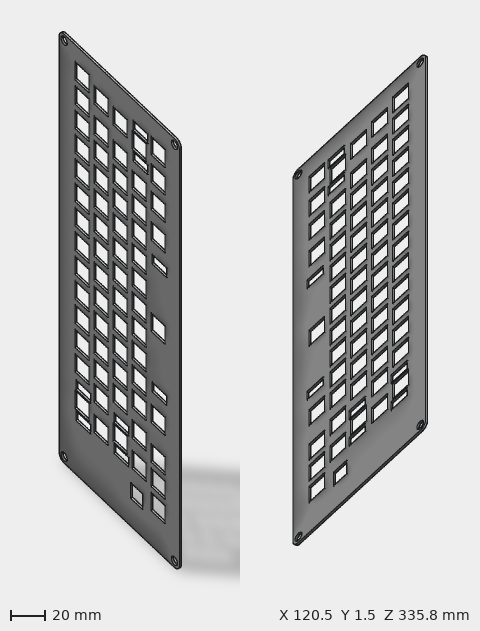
import cadquery as cq

plate_width = 120.5
plate_thickness = 1.5
plate_height = 335.8
corner_radius = 5.0

screw_hole_diameter = 6.0
screw_hole_inset = 5.0

single_key_count = 13
number_row_span = 228.5
key_unit = number_row_span / (single_key_count - 1)
row_count = 5
first_switch_inset = 20.5
key_start_z = plate_height / 2 - first_switch_inset + key_unit / 2
key_field_offset = 0.7

switch_size = 14.0

stabilizer_length = 14.8
stabilizer_width = 7.5
stabilizer_offset = 1.5
short_stabilizer_reach = 12.0
space_stabilizer_reach = 50.0

stabilized_width = 2
space_bar_width = 6.25

number_row = [1] * single_key_count + [2]
upper_row = [1.5] + [1] * 12 + [1.5]
home_row = [1.75] + [1] * 11 + [2.25]
lower_row = [2.25] + [1] * 10 + [1.5, 1]
bottom_row = [1.25, 1, 1.25, 1.25, space_bar_width, 1.25]
arrow_keys = [1, 1, 1]
arrow_start = 12.75

square_opening_size = 12.0
square_opening_x = 17.5
square_opening_z = -140.0


def row_x(row):
    """X of a row's switch centres."""
    return key_field_offset + (row - (row_count - 1) / 2) * key_unit


def window(x, z, size_x, size_z):
    """Rectangular cutter through the plate, centred at (x, z)."""
    return cq.Workplane("XY").box(size_x, 2 * plate_thickness, size_z).translate((x, 0, z))


def key_windows(x, z, width):
    """Switch window of one key, with stabilizer windows if the key is wide."""
    windows = [window(x, z, switch_size, switch_size)]
    if width >= stabilized_width:
        reach = short_stabilizer_reach if width < space_bar_width else space_stabilizer_reach
        for side in (-1, 1):
            windows.append(
                window(x + stabilizer_offset, z + side * reach, stabilizer_length, stabilizer_width)
            )
    return windows


def row_windows(row, widths, start=0.0):
    """All windows of a run of adjacent keys beginning at start (in key units)."""
    windows = []
    for width in widths:
        z = key_start_z - (start + width / 2) * key_unit
        windows += key_windows(row_x(row), z, width)
        start += width
    return windows


def base_plate():
    """Round-cornered plate with a screw hole in each corner."""
    return (
        cq.Workplane("XY")
        .box(plate_width, plate_thickness, plate_height)
        .edges("|Y")
        .fillet(corner_radius)
        .faces("<Y")
        .workplane(centerOption="CenterOfBoundBox")
        .rect(
            plate_width - 2 * screw_hole_inset,
            plate_height - 2 * screw_hole_inset,
            forConstruction=True,
        )
        .vertices()
        .hole(screw_hole_diameter)
    )


cutters = [window(square_opening_x, square_opening_z, square_opening_size, square_opening_size)]
for row, widths in enumerate([number_row, upper_row, home_row, lower_row, bottom_row]):
    cutters += row_windows(row, widths)
cutters += row_windows(row_count - 1, arrow_keys, arrow_start)

window_compound = cq.Compound.makeCompound([cutter.val() for cutter in cutters])
result = base_plate().cut(cq.Workplane(obj=window_compound))